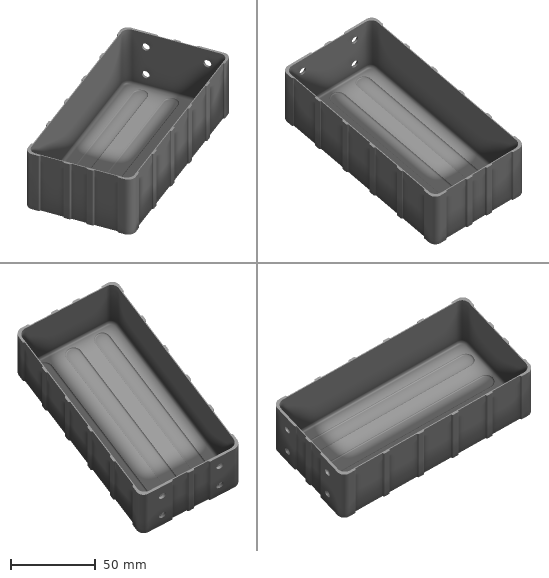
import cadquery as cq
import math

LENGTH_X = 70.0
LENGTH_Y = 140.0
HEIGHT = 40.0
OUTER_RADIUS = 5.0

WALL = 1.6
FLOOR = 1.0
INNER_RADIUS = 5.0
FLOOR_FILLET = 2.0

RELIEF_DEPTH = 1.0
RIB_WIDTH = 5.0
CORNER_WIDTH = 10.0
SIDE_PANELS = 5
FRONT_MIDDLE_PANEL = 10.0
BACK_PANEL = 10.0

GROOVE_COUNT = 3
GROOVE_PITCH = 20.0
GROOVE_LENGTH = 130.0
GROOVE_WIDTH = 10.0
GROOVE_DEPTH = 0.6
GROOVE_FILLET = 1.0

HOLE_DIAMETER = 5.0
HOLE_SPACING_X = 40.0
HOLE_SPACING_Z = 20.0


def make_shell():
    """Open-topped box with rounded corners and a filleted floor."""
    body = (
        cq.Workplane("XY")
        .box(LENGTH_X, LENGTH_Y, HEIGHT, centered=(True, True, False))
        .edges("|Z")
        .fillet(OUTER_RADIUS)
    )
    cavity = (
        cq.Workplane("XY", origin=(0, 0, FLOOR))
        .box(LENGTH_X - 2 * WALL, LENGTH_Y - 2 * WALL, HEIGHT, centered=(True, True, False))
        .edges("|Z")
        .fillet(INNER_RADIUS)
        .faces("<Z")
        .edges()
        .fillet(FLOOR_FILLET)
    )
    return body.cut(cavity)


def relief_panel(center, width, distance, angle):
    """Full-height cutter for a recess in the wall facing -Y, turned by angle about Z.

    The recess is `width` wide at its bottom and its edges round over outward to the wall
    face. `distance` runs from the box center to that face.
    """
    half = width / 2
    outside = -distance
    bottom = outside + RELIEF_DEPTH
    bulge = RELIEF_DEPTH * (1 - math.sqrt(0.5))
    left = center - half
    right = center + half
    return (
        cq.Workplane("XY")
        .moveTo(left, bottom)
        .lineTo(right, bottom)
        .threePointArc((right + bulge, outside + bulge), (right + RELIEF_DEPTH, outside))
        .lineTo(left - RELIEF_DEPTH, outside)
        .threePointArc((left - bulge, outside + bulge), (left, bottom))
        .close()
        .extrude(HEIGHT)
        .rotate((0, 0, 0), (0, 0, 1), angle)
    )


def cut_side_panels(body):
    """Equal recesses along both long walls."""
    ribs = SIDE_PANELS - 1
    width = (LENGTH_Y - 2 * CORNER_WIDTH - ribs * RIB_WIDTH) / SIDE_PANELS
    pitch = width + RIB_WIDTH
    for angle in (90, -90):
        for index in range(SIDE_PANELS):
            center = (index - (SIDE_PANELS - 1) / 2) * pitch
            body = body.cut(relief_panel(center, width, LENGTH_X / 2, angle))
    return body


def cut_front_panels(body):
    """A narrow middle recess and two wider ones in the -Y wall, with a rib between each pair."""
    outer_width = (LENGTH_X - 2 * CORNER_WIDTH - 2 * RIB_WIDTH - FRONT_MIDDLE_PANEL) / 2
    offset = FRONT_MIDDLE_PANEL / 2 + RIB_WIDTH + outer_width / 2
    body = body.cut(relief_panel(0, FRONT_MIDDLE_PANEL, LENGTH_Y / 2, 0))
    for center in (-offset, offset):
        body = body.cut(relief_panel(center, outer_width, LENGTH_Y / 2, 0))
    return body


def cut_back_panels(body):
    """One recess on each side of a central rib in the +Y wall."""
    offset = (RIB_WIDTH + BACK_PANEL) / 2
    for center in (-offset, offset):
        body = body.cut(relief_panel(center, BACK_PANEL, LENGTH_Y / 2, 180))
    return body


def cut_floor_grooves(body):
    """Round-ended shallow grooves in the floor with arc-shaped sides."""
    arc_inset = GROOVE_FILLET - math.sqrt(GROOVE_FILLET**2 - (GROOVE_FILLET - GROOVE_DEPTH) ** 2)
    centers = [((i - (GROOVE_COUNT - 1) / 2) * GROOVE_PITCH, 0) for i in range(GROOVE_COUNT)]
    grooves = (
        cq.Workplane("XY", origin=(0, 0, FLOOR - GROOVE_DEPTH))
        .pushPoints(centers)
        .slot2D(GROOVE_LENGTH + 2 * arc_inset, GROOVE_WIDTH + 2 * arc_inset, 90)
        .extrude(2 * GROOVE_FILLET)
        .faces("<Z")
        .edges()
        .fillet(GROOVE_FILLET)
    )
    return body.cut(grooves)


def cut_back_holes(body):
    """Round holes through the back wall, centered on it in X and Z."""
    holes = (
        cq.Workplane("XZ", origin=(0, LENGTH_Y / 2, HEIGHT / 2))
        .rarray(HOLE_SPACING_X, HOLE_SPACING_Z, 2, 2)
        .circle(HOLE_DIAMETER / 2)
        .extrude(2 * WALL)
    )
    return body.cut(holes)


result = make_shell()
result = cut_side_panels(result)
result = cut_front_panels(result)
result = cut_back_panels(result)
result = cut_floor_grooves(result)
result = cut_back_holes(result)